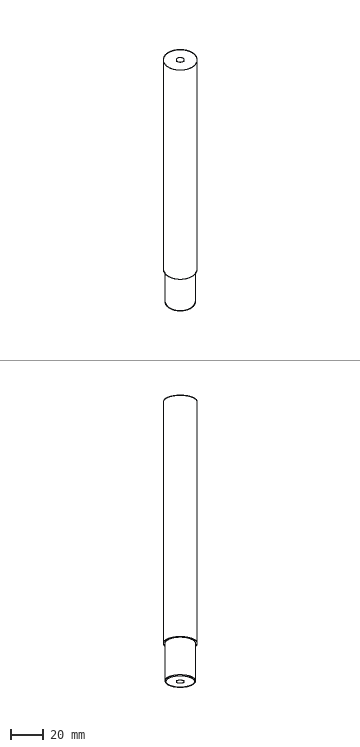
import cadquery as cq

total_length = 190.0
tube_diameter = 21.0
spigot_diameter = 19.0
spigot_length = 26.0
bore_diameter = 5.0
spigot_chamfer = 0.5

tube_length = total_length - spigot_length


def make_spigot():
    """Lower spigot: a bored cylinder with a chamfered bottom rim."""
    blank = cq.Workplane("XY").circle(spigot_diameter / 2).extrude(spigot_length)
    chamfered = blank.faces("<Z").edges().chamfer(spigot_chamfer)
    bore = cq.Workplane("XY").circle(bore_diameter / 2).extrude(spigot_length)
    return chamfered.cut(bore)


def make_tube():
    """Long tube resting on the top face of the spigot, with the same bore."""
    return (
        cq.Workplane("XY")
        .workplane(offset=spigot_length)
        .circle(tube_diameter / 2)
        .circle(bore_diameter / 2)
        .extrude(tube_length)
    )


spigot = make_spigot()
tube = make_tube()

result = cq.Compound.makeCompound([spigot.val(), tube.val()])